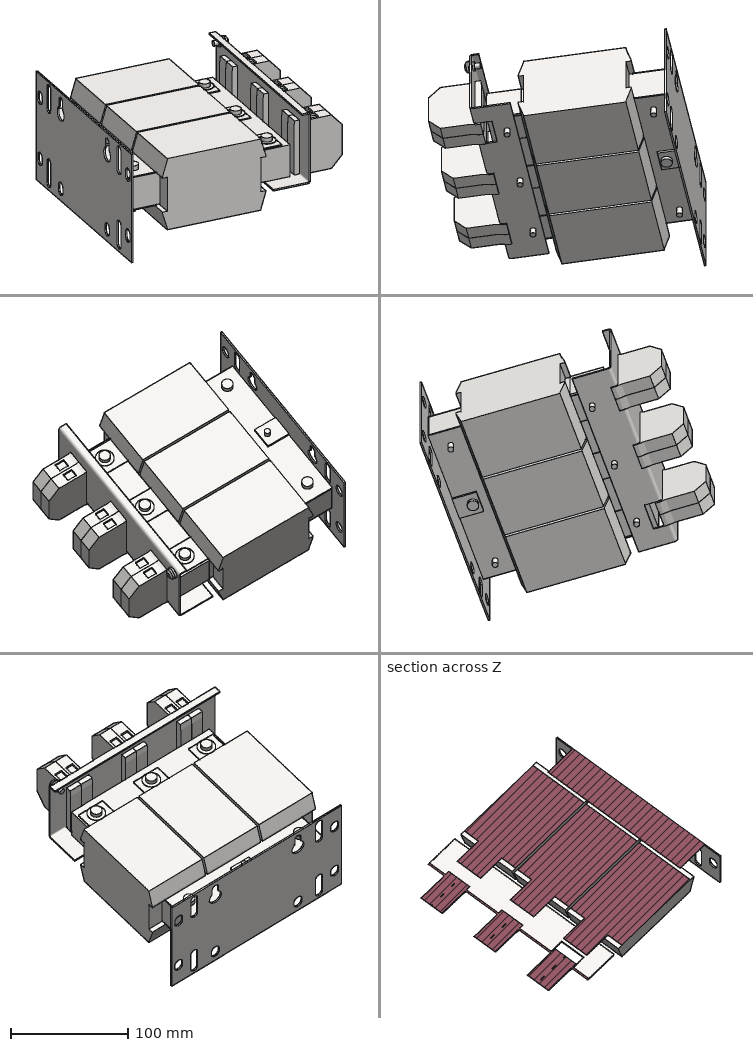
import cadquery as cq


PHASE_PITCH = 60.0
PHASE_X = [-PHASE_PITCH, 0.0, PHASE_PITCH]
CORE_MID_Z = 55.75
STACK_HEIGHT = 30.0
LEG_WIDTH = 30.0
YOKE_DEPTH = 30.0
WINDOW_LENGTH = 90.0
AIR_GAP = 6.5
CORE_WIDTH = 2 * PHASE_PITCH + LEG_WIDTH
CORE_TOP = CORE_MID_Z + STACK_HEIGHT / 2
CORE_BOTTOM = CORE_MID_Z - STACK_HEIGHT / 2
SPACER_INSET = 0.3

CHANNEL_THICKNESS = 1.0
CHANNEL_WIDTH = 149.5
CHANNEL_TOP = CORE_TOP + CHANNEL_THICKNESS
CHANNEL_BOTTOM = CORE_BOTTOM - CHANNEL_THICKNESS

COIL_WIDTH = 58.0
COIL_HEIGHT = 67.2
COIL_LENGTH = 89.0
COIL_MID_Y = 80.1
FLANGE_LENGTH = 98.0
FLANGE_EDGE = 1.5
FLANGE_OPENING = STACK_HEIGHT + 2 * CHANNEL_THICKNESS

PLATE_WIDTH = 185.0
PLATE_HEIGHT = 102.0
PLATE_THICKNESS = 1.5
OUTER_SLOT_X = 85.0
LONG_SLOT_X = 68.0
KEYHOLE_X = 45.0
SHORT_SLOT_SIZE = (12.0, 8.5)
LONG_SLOT_SIZE = (26.5, 7.5)
OUTER_SLOT_Z = (22.5, 80.0)
LONG_SLOT_Z = (16.25, 86.25)
LOWER_SLOT_Z = 11.25
KEYHOLE_DIAMETER = 13.0
KEYHOLE_Z = 82.0
KEYHOLE_NECK_WIDTH = 7.0
KEYHOLE_TOP = 97.2

LUG_WIDTH = 20.0
LUG_END_Y = 23.3
LUG_THICKNESS = 2.0

STRAP_WIDTH = 26.5
STRAP_END_Y = 152.0
STRAP_THICKNESS = CHANNEL_THICKNESS

BOLT_DIAMETER = 5.0
HEAD_DIAMETER = 9.8
WASHER_DIAMETER = 16.0
WASHER_THICKNESS = 0.6
BOLT_END_Z = 32.2
HEAD_TOP_Z = 76.2
LOWER_HEAD_BOTTOM_Z = 34.7
STUD_TOP_Z = 78.8

BRACKET_WIDTH = 180.0
BRACKET_BACK_Y = 171.0
BRACKET_THICKNESS = 1.5
BRACKET_TOP = 105.3
BRACKET_BOTTOM = CORE_BOTTOM - STRAP_THICKNESS - BRACKET_THICKNESS
BEND_RADIUS = 3.0
LIP_END_Y = 163.0
FOOT_END_Y = 135.8
FOOT_WINDOW_WIDTH = 25.0
FOOT_WINDOW_START_Y = 155.0

TERMINAL_PITCH = 12.0
TERMINAL_WIDTH = 11.9
TERMINAL_BACK_Y = 210.1
TERMINAL_FRONT_Y = 164.0
TERMINAL_TOP = 89.1
TERMINAL_BOTTOM = 38.6
TERMINAL_CHAMFER_Y = 10.4
TERMINAL_CHAMFER_Z = 11.2
HOOK_BACK_Y = 174.3
HOOK_FRONT_Y = 168.5
HOOK_RISE = 1.6
HOOK_SLOPE_Y = 0.7
HOOK_SLOPE_Z = 7.0
POCKET_SIZE = (7.2, 8.8)
POCKET_MID_Y = 184.3
POCKET_DEPTH = 2.0

EARTH_X = -82.0
EARTH_Z = 98.6
EARTH_END_Y = 163.0
EARTH_NUT_DIAMETER = 8.0
EARTH_NUT_THICKNESS = 1.6
EARTH_WASHER_DIAMETER = 10.4
EARTH_WASHER_THICKNESS = 1.9
EARTH_HEAD_DIAMETER = 9.6
EARTH_HEAD_HEIGHT = 1.8
EARTH_CROWN_DIAMETER = 5.0
EARTH_CROWN_HEIGHT = 1.7

FRONT_YOKE_Y = PLATE_THICKNESS + CHANNEL_THICKNESS
WINDOW_START_Y = FRONT_YOKE_Y + YOKE_DEPTH
SPACER_Y = WINDOW_START_Y + WINDOW_LENGTH
REAR_YOKE_Y = SPACER_Y + AIR_GAP
FRONT_BOLT_Y = 17.0
REAR_BOLT_Y = REAR_YOKE_Y + YOKE_DEPTH / 2


def block(x_mid, width, y_start, y_end, z_start, z_end):
    """Rectangular block centred on x_mid."""
    corner = (x_mid - width / 2, y_start, z_start)
    return cq.Workplane("XY").box(width, y_end - y_start, z_end - z_start, centered=False).translate(corner)


def upright_cylinder(x, y, diameter, z_start, z_end):
    return cq.Workplane("XY", origin=(x, y, z_start)).circle(diameter / 2).extrude(z_end - z_start)


def cross_cylinder(x, z, diameter, y_start, y_end):
    """Cylinder along Y."""
    plane = cq.Plane(origin=(x, y_start, z), xDir=(1, 0, 0), normal=(0, 1, 0))
    return cq.Workplane(plane).circle(diameter / 2).extrude(y_end - y_start)


def side_prism(points, x_mid, width):
    """Prism along X from an outline of (y, z) points."""
    return cq.Workplane("YZ", origin=(x_mid - width / 2, 0, 0)).polyline(points).close().extrude(width)


def make_core():
    front_yoke = block(0, CORE_WIDTH, FRONT_YOKE_Y, WINDOW_START_Y, CORE_BOTTOM, CORE_TOP)
    rear_yoke = block(0, CORE_WIDTH, REAR_YOKE_Y, REAR_YOKE_Y + YOKE_DEPTH, CORE_BOTTOM, CORE_TOP)
    spacer = block(
        0, CORE_WIDTH - 2 * SPACER_INSET, SPACER_Y, REAR_YOKE_Y,
        CORE_BOTTOM + SPACER_INSET, CORE_TOP - SPACER_INSET,
    )
    core = front_yoke.union(rear_yoke).union(spacer)
    for x in PHASE_X:
        core = core.union(block(x, LEG_WIDTH, WINDOW_START_Y, SPACER_Y, CORE_BOTTOM, CORE_TOP))
    return core


def make_channel():
    outer = block(0, CHANNEL_WIDTH, PLATE_THICKNESS, WINDOW_START_Y, CHANNEL_BOTTOM, CHANNEL_TOP)
    inner = block(0, CHANNEL_WIDTH, FRONT_YOKE_Y, WINDOW_START_Y, CORE_BOTTOM, CORE_TOP)
    return outer.cut(inner)


def make_coil(x):
    """Coil whose end flanges lean outwards above and below the yokes."""
    body = block(
        x, COIL_WIDTH, COIL_MID_Y - COIL_LENGTH / 2, COIL_MID_Y + COIL_LENGTH / 2,
        CORE_MID_Z - COIL_HEIGHT / 2, CORE_MID_Z + COIL_HEIGHT / 2,
    )
    for side in (-1, 1):
        inner_z = CORE_MID_Z + side * FLANGE_OPENING / 2
        tip_z = inner_z + side * FLANGE_EDGE
        edge_z = CORE_MID_Z + side * (COIL_HEIGHT / 2 - FLANGE_EDGE)
        flange = side_prism(
            [
                (COIL_MID_Y - FLANGE_LENGTH / 2, inner_z),
                (COIL_MID_Y + FLANGE_LENGTH / 2, inner_z),
                (COIL_MID_Y + FLANGE_LENGTH / 2, tip_z),
                (COIL_MID_Y + COIL_LENGTH / 2, edge_z),
                (COIL_MID_Y - COIL_LENGTH / 2, edge_z),
                (COIL_MID_Y - FLANGE_LENGTH / 2, tip_z),
            ],
            x, COIL_WIDTH,
        )
        body = body.union(flange)
    return body


def plate_slot(x, z, size):
    """Cutter for a vertical round-ended slot through the mounting plate."""
    length, width = size
    return cq.Workplane("XZ").center(x, z).slot2D(length, width, 90).extrude(-PLATE_THICKNESS)


def keyhole(x):
    bore = cross_cylinder(x, KEYHOLE_Z, KEYHOLE_DIAMETER, 0, PLATE_THICKNESS)
    neck_end_z = KEYHOLE_TOP - KEYHOLE_NECK_WIDTH / 2
    neck = block(x, KEYHOLE_NECK_WIDTH, 0, PLATE_THICKNESS, KEYHOLE_Z, neck_end_z)
    neck_end = cross_cylinder(x, neck_end_z, KEYHOLE_NECK_WIDTH, 0, PLATE_THICKNESS)
    return bore.union(neck).union(neck_end)


def make_mounting_plate():
    plate = block(0, PLATE_WIDTH, 0, PLATE_THICKNESS, 0, PLATE_HEIGHT)
    for side in (-1, 1):
        for z in OUTER_SLOT_Z:
            plate = plate.cut(plate_slot(side * OUTER_SLOT_X, z, SHORT_SLOT_SIZE))
        for z in LONG_SLOT_Z:
            plate = plate.cut(plate_slot(side * LONG_SLOT_X, z, LONG_SLOT_SIZE))
        plate = plate.cut(plate_slot(side * KEYHOLE_X, LOWER_SLOT_Z, SHORT_SLOT_SIZE))
        plate = plate.cut(keyhole(side * KEYHOLE_X))
    upper_lug = block(0, LUG_WIDTH, 0, LUG_END_Y, CHANNEL_TOP, CHANNEL_TOP + LUG_THICKNESS)
    lower_lug = block(0, LUG_WIDTH, 0, LUG_END_Y, CHANNEL_BOTTOM - LUG_THICKNESS, CHANNEL_BOTTOM)
    return plate.union(upper_lug).union(lower_lug)


def make_front_bolts():
    """Middle bolt inserted from below through the lugs; outer bolts inserted from above."""
    bolts = upright_cylinder(0, FRONT_BOLT_Y, BOLT_DIAMETER, LOWER_HEAD_BOTTOM_Z, STUD_TOP_Z)
    bolts = bolts.union(upright_cylinder(0, FRONT_BOLT_Y, HEAD_DIAMETER, LOWER_HEAD_BOTTOM_Z, CHANNEL_BOTTOM))
    for x in (PHASE_X[0], PHASE_X[-1]):
        bolts = bolts.union(upright_cylinder(x, FRONT_BOLT_Y, BOLT_DIAMETER, BOLT_END_Z, CORE_TOP))
        bolts = bolts.union(upright_cylinder(x, FRONT_BOLT_Y, HEAD_DIAMETER, CORE_TOP, HEAD_TOP_Z))
    return bolts


def make_rear_fixing(x):
    """Straps, washer and bolt clamping the rear yoke at one phase."""
    strap_top = CORE_TOP + STRAP_THICKNESS
    strap_bottom = CORE_BOTTOM - STRAP_THICKNESS
    fixing = block(x, STRAP_WIDTH, SPACER_Y, STRAP_END_Y, CORE_TOP, strap_top)
    fixing = fixing.union(block(x, STRAP_WIDTH, SPACER_Y, STRAP_END_Y, strap_bottom, CORE_BOTTOM))
    washer = upright_cylinder(x, REAR_BOLT_Y, WASHER_DIAMETER, strap_top, strap_top + WASHER_THICKNESS)
    head = upright_cylinder(x, REAR_BOLT_Y, HEAD_DIAMETER, strap_top, HEAD_TOP_Z)
    shank = upright_cylinder(x, REAR_BOLT_Y, BOLT_DIAMETER, BOLT_END_Z, CORE_BOTTOM)
    return fixing.union(washer).union(head).union(shank)


def make_bracket():
    """C-shaped sheet: short lip on top, long foot under the rear yoke."""
    inner_back_y = BRACKET_BACK_Y - BRACKET_THICKNESS
    outer = block(0, BRACKET_WIDTH, FOOT_END_Y, BRACKET_BACK_Y, BRACKET_BOTTOM, BRACKET_TOP)
    outer = outer.edges("|X and >Y").fillet(BEND_RADIUS)
    inner = block(
        0, BRACKET_WIDTH, FOOT_END_Y, inner_back_y,
        BRACKET_BOTTOM + BRACKET_THICKNESS, BRACKET_TOP - BRACKET_THICKNESS,
    )
    inner = inner.edges("|X and >Y").fillet(BEND_RADIUS - BRACKET_THICKNESS)
    lip_trim = block(0, BRACKET_WIDTH, FOOT_END_Y, LIP_END_Y, CORE_TOP, BRACKET_TOP)
    window = block(
        PHASE_X[0], FOOT_WINDOW_WIDTH, FOOT_WINDOW_START_Y, inner_back_y,
        BRACKET_BOTTOM, BRACKET_BOTTOM + BRACKET_THICKNESS,
    )
    return outer.cut(inner).cut(lip_trim).cut(window)


def make_terminal(x):
    """One terminal block, chamfered at the rear and hooked around the bracket."""
    hook_top = TERMINAL_TOP + HOOK_RISE
    hook_bottom = TERMINAL_BOTTOM - HOOK_RISE
    hook_tip_y = TERMINAL_FRONT_Y + HOOK_SLOPE_Y
    outline = [
        (TERMINAL_BACK_Y, TERMINAL_BOTTOM + TERMINAL_CHAMFER_Z),
        (TERMINAL_BACK_Y, TERMINAL_TOP - TERMINAL_CHAMFER_Z),
        (TERMINAL_BACK_Y - TERMINAL_CHAMFER_Y, TERMINAL_TOP),
        (HOOK_BACK_Y, TERMINAL_TOP),
        (HOOK_FRONT_Y, hook_top),
        (hook_tip_y, hook_top),
        (TERMINAL_FRONT_Y, hook_top - HOOK_SLOPE_Z),
        (TERMINAL_FRONT_Y, hook_bottom + HOOK_SLOPE_Z),
        (hook_tip_y, hook_bottom),
        (HOOK_FRONT_Y, hook_bottom),
        (HOOK_BACK_Y, TERMINAL_BOTTOM),
        (TERMINAL_BACK_Y - TERMINAL_CHAMFER_Y, TERMINAL_BOTTOM),
    ]
    pocket_width, pocket_length = POCKET_SIZE
    pocket = block(
        x, pocket_width, POCKET_MID_Y - pocket_length / 2, POCKET_MID_Y + pocket_length / 2,
        TERMINAL_TOP - POCKET_DEPTH, TERMINAL_TOP,
    )
    return side_prism(outline, x, TERMINAL_WIDTH).cut(pocket)


def make_earth_screw():
    inner_back_y = BRACKET_BACK_Y - BRACKET_THICKNESS
    washer_end_y = BRACKET_BACK_Y + EARTH_WASHER_THICKNESS
    head_end_y = washer_end_y + EARTH_HEAD_HEIGHT
    shank = cross_cylinder(EARTH_X, EARTH_Z, BOLT_DIAMETER, EARTH_END_Y, BRACKET_BACK_Y)
    nut_start_y = inner_back_y - EARTH_NUT_THICKNESS
    nut = cross_cylinder(EARTH_X, EARTH_Z, EARTH_NUT_DIAMETER, nut_start_y, inner_back_y)
    washer = cross_cylinder(EARTH_X, EARTH_Z, EARTH_WASHER_DIAMETER, BRACKET_BACK_Y, washer_end_y)
    head = cross_cylinder(EARTH_X, EARTH_Z, EARTH_HEAD_DIAMETER, washer_end_y, head_end_y)
    crown = cq.Workplane(
        cq.Solid.makeCone(
            EARTH_HEAD_DIAMETER / 2, EARTH_CROWN_DIAMETER / 2, EARTH_CROWN_HEIGHT,
            pnt=cq.Vector(EARTH_X, head_end_y, EARTH_Z), dir=cq.Vector(0, 1, 0),
        )
    )
    return shank.union(nut).union(washer).union(head).union(crown)


result = make_core().union(make_channel()).union(make_mounting_plate())
result = result.union(make_front_bolts()).union(make_bracket())
for phase_x in PHASE_X:
    result = result.union(make_coil(phase_x)).union(make_rear_fixing(phase_x))
    for side in (-1, 1):
        result = result.union(make_terminal(phase_x + side * TERMINAL_PITCH / 2))
result = result.union(make_earth_screw())